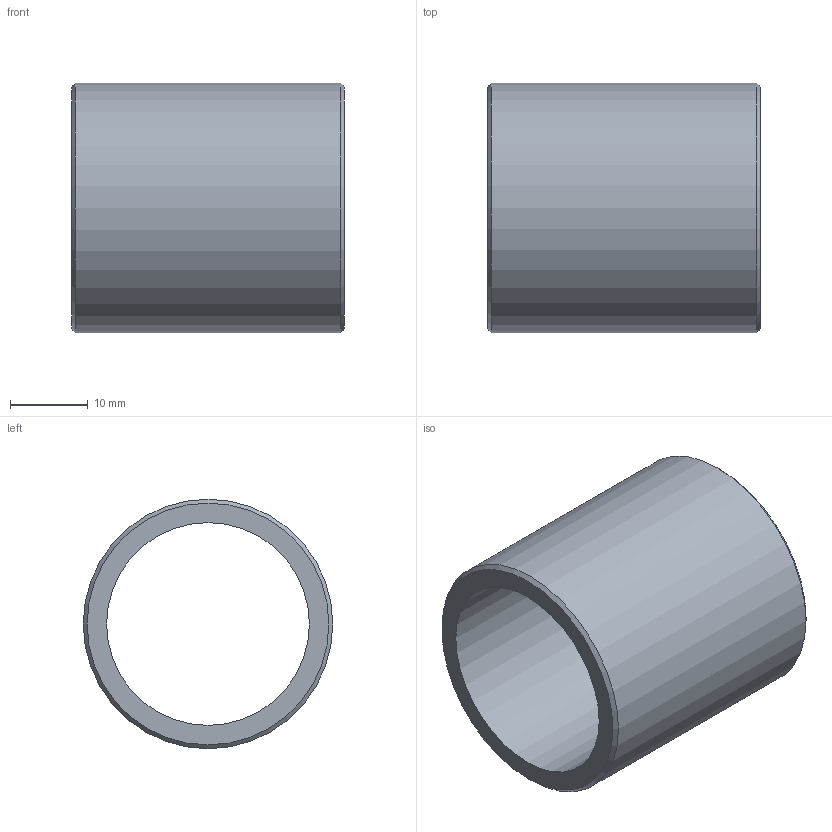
import cadquery as cq

length = 35.0
outer_diameter = 32.0
bore_diameter = 26.0
edge_chamfer = 0.5


def full_length_cylinder(diameter):
    """Cylinder along X spanning the whole length of the bushing."""
    return (
        cq.Workplane("YZ")
        .workplane(offset=-length / 2)
        .circle(diameter / 2)
        .extrude(length)
    )


def bushing_body():
    """Solid cylinder with both outer end edges chamfered."""
    return full_length_cylinder(outer_diameter).edges("%CIRCLE").chamfer(edge_chamfer)


def bore():
    """Straight through bore, left sharp at both ends."""
    return full_length_cylinder(bore_diameter)


result = bushing_body().cut(bore())